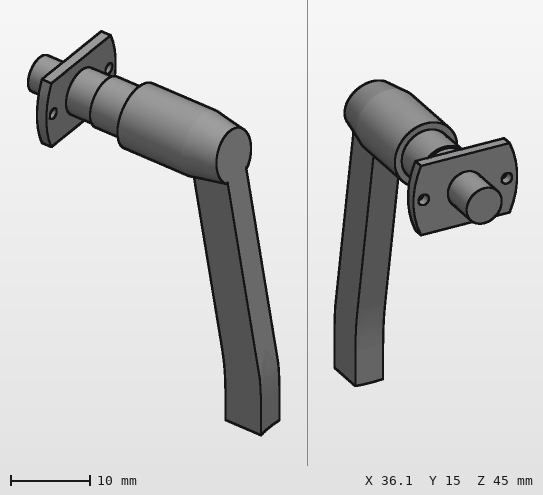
import cadquery as cq
import math

pin_radius = 2.5
pin_length = 5.0
neck_radius = 3.25
neck_length = 3.95
collar_radius = 3.5
collar_length = 5.0
body_radius = 4.5
body_length = 10.05
taper_length = 5.4
taper_angle = math.radians(10)

flange_thickness = 1.5
flange_height = 10.0
flange_width = 14.95
flange_end_radius = 12.0
hole_diameter = 1.5
hole_spacing = 11.95

arm_angle = math.radians(10)
arm_width = 4.0
arm_face_radius = 15.0
arm_thickness = 5.6
bend_inner_radius = 35.0
foot_length = 5.0
arm_end_x = 36.1
part_height = 45.0
arm_root_z = -0.9

flange_start = pin_length
neck_start = flange_start + flange_thickness
collar_start = neck_start + neck_length
body_start = collar_start + collar_length
taper_start = body_start + body_length
taper_end = taper_start + taper_length

face_bow = arm_face_radius - math.sqrt(arm_face_radius**2 - (arm_width / 2) ** 2)
arm_outer_x = arm_end_x - face_bow
arm_inner_x = arm_outer_x - arm_thickness
foot_z = flange_height / 2 - part_height
bend_z = foot_z + foot_length
bend_center_x = arm_inner_x - bend_inner_radius


def bend_point(radius, angle):
    """X and Z of a point on the bend, with the angle measured up from +X."""
    return bend_center_x + radius * math.cos(angle), bend_z + radius * math.sin(angle)


def make_shaft():
    taper_end_radius = body_radius - taper_length * math.tan(taper_angle)
    profile = (
        cq.Workplane("XZ")
        .moveTo(0, 0)
        .lineTo(0, pin_radius)
        .lineTo(neck_start, pin_radius)
        .lineTo(neck_start, neck_radius)
        .lineTo(collar_start, neck_radius)
        .lineTo(collar_start, collar_radius)
        .lineTo(body_start, collar_radius)
        .lineTo(body_start, body_radius)
        .lineTo(taper_start, body_radius)
        .lineTo(taper_end, taper_end_radius)
        .lineTo(taper_end, 0)
        .close()
    )
    return profile.revolve(360, (0, 0, 0), (1, 0, 0))


def make_flange():
    half_width = flange_width / 2
    half_height = flange_height / 2
    end_bulge = flange_end_radius - math.sqrt(flange_end_radius**2 - half_height**2)
    corner_y = half_width - end_bulge
    plate = (
        cq.Workplane("YZ", origin=(flange_start, 0, 0))
        .moveTo(-corner_y, half_height)
        .lineTo(corner_y, half_height)
        .threePointArc((half_width, 0), (corner_y, -half_height))
        .lineTo(-corner_y, -half_height)
        .threePointArc((-half_width, 0), (-corner_y, half_height))
        .close()
        .extrude(flange_thickness)
    )
    holes = (
        cq.Workplane("YZ", origin=(flange_start, 0, 0))
        .rarray(hole_spacing, 0.45, 2, 1)
        .circle(hole_diameter / 2)
        .extrude(flange_thickness)
    )
    return plate.cut(holes)


def make_arm():
    half_width = arm_width / 2
    middle_radius = bend_inner_radius + arm_thickness / 2
    bend_middle = bend_point(middle_radius, arm_angle / 2)
    bend_top = bend_point(middle_radius, arm_angle)
    root_x = bend_top[0] - (arm_root_z - bend_top[1]) * math.tan(arm_angle)
    path = (
        cq.Workplane("XZ")
        .moveTo(arm_inner_x + arm_thickness / 2, foot_z)
        .lineTo(arm_inner_x + arm_thickness / 2, bend_z)
        .threePointArc(bend_middle, bend_top)
        .lineTo(root_x, arm_root_z)
    )
    section = (
        cq.Workplane("XY", origin=(0, 0, foot_z))
        .moveTo(arm_inner_x + face_bow, -half_width)
        .threePointArc((arm_inner_x, 0), (arm_inner_x + face_bow, half_width))
        .lineTo(arm_end_x, half_width)
        .threePointArc((arm_outer_x, 0), (arm_end_x, -half_width))
        .close()
    )
    return section.sweep(path)


def make_end_trim():
    """Block beyond the sloped plane that ends the taper and touches the arm's bend."""
    tangent_x, tangent_z = bend_point(bend_inner_radius + arm_thickness, arm_angle)
    plane = cq.Plane(
        origin=(tangent_x, 0, tangent_z),
        xDir=(0, 1, 0),
        normal=(math.cos(arm_angle), 0, math.sin(arm_angle)),
    )
    block_size = 2 * part_height
    return cq.Workplane(plane).rect(block_size, block_size).extrude(block_size)


result = make_shaft().union(make_flange()).union(make_arm()).cut(make_end_trim())